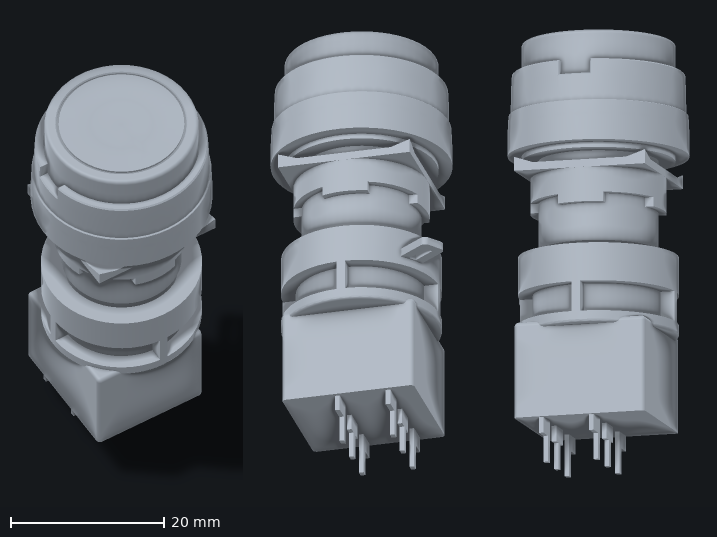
import cadquery as cq
import math

BLOCK_BOTTOM_Z = 5.55
COLLAR_BOTTOM_Z = 17.5
BLOCK_TOP_Z = 18.3
WINDOW_BOTTOM_Z = 19.0
WINDOW_TOP_Z = 23.0
SOCKET_FLOOR_Z = 26.95
COLLAR_TOP_Z = 28.1
NECK_TOP_Z = 28.5
BARREL_BOTTOM_Z = 28.9
TAB_BOTTOM_Z = 33.9
NUT_RING_BOTTOM_Z = 35.15
NUT_PLATE_BOTTOM_Z = 38.5
NUT_PLATE_TOP_Z = 39.5
NUT_CORNER_Z = 40.35
LIP_BOTTOM_Z = 40.85
SKIRT_BOTTOM_Z = 41.55
BEZEL_STEP_Z = 46.9
NOTCH_FLOOR_Z = 50.55
BEZEL_TOP_Z = 52.45
BUTTON_TOP_Z = 56.6

BARREL_RADIUS = 7.85
NECK_RADIUS = 7.4
LIP_RADIUS = 10.1
BUTTON_RADIUS = 10.1
BUTTON_EDGE = 0.5
SKIRT_BOTTOM_RADIUS = 11.9
SKIRT_TOP_RADIUS = 11.8
SKIRT_EDGE = 0.05
BEZEL_BOTTOM_RADIUS = 11.5
BEZEL_TOP_RADIUS = 11.3
BEZEL_BULGE = 0.05
BEZEL_EDGE = 0.15
BEZEL_BORE_RADIUS = 10.25
BUTTON_GAP_BOTTOM_Z = 49.8
NOTCH_WIDTH = 4.2
LENS_RADIUS = 8.2
LENS_GROOVE_RADIUS = 8.5
LENS_GROOVE_BEVEL = 0.15
LENS_GROOVE_DEPTH = 0.3
LENS_DISH_DEPTH = 0.3

NUT_SIZE = 17.85
NUT_FOLD_POSITION = 6.35
NUT_TAB_WIDTH = 6.1

COLLAR_RADIUS = 10.5
COLLAR_EDGE = 0.4
SOCKET_RADIUS = 7.8
COLLAR_CORE_RADIUS = 8.6
POST_WIDTH = 1.15
BLOCK_LENGTH = 17.85
BLOCK_WIDTH = 16.0
BLOCK_CENTRE_Y = -1.0
BLOCK_EDGE = 0.55
LEVER_ANGLE = 143.5
LEVER_BOTTOM_Z = 24.1
LEVER_THICKNESS = 1.1
LEVER_WIDTH = 3.5
LEVER_REACH = 15.4
LEVER_CORNER = 0.75
LEVER_SLOT_START = 10.75
LEVER_SLOT_END = 14.2
LEVER_SLOT_WIDTH = 1.0
PIN_ROWS_X = (-5.3, 1.5)
PIN_THICKNESS = 0.6
PIN_SHOULDER_Z = 3.45
PIN_SHOULDER_WIDTH = 3.0
PIN_TIP_WIDTH = 0.9
OUTER_PIN_EDGE = 7.45


def disc(radius, bottom, top):
    return cq.Workplane("XY").workplane(offset=bottom).circle(radius).extrude(top - bottom)


def tube(outer_radius, inner_radius, bottom, top):
    profile = cq.Workplane("XY").workplane(offset=bottom).circle(outer_radius).circle(inner_radius)
    return profile.extrude(top - bottom)


def block(x_size, y_size, bottom, top, centre=(0, 0)):
    outline = cq.Workplane("XY").workplane(offset=bottom).center(*centre).rect(x_size, y_size)
    return outline.extrude(top - bottom)


def revolved(*points):
    """Solid of revolution about Z from a closed outline of (radius, z) points."""
    return cq.Workplane("XZ").polyline(points).close().revolve(360, (0, 0), (0, 1))


def bulged(lower, upper):
    """Midpoint of a gently convex side running between two (radius, z) points."""
    return ((lower[0] + upper[0]) / 2 + BEZEL_BULGE, (lower[1] + upper[1]) / 2)


def make_bezel():
    skirt_low = (SKIRT_BOTTOM_RADIUS, SKIRT_BOTTOM_Z)
    skirt_high = (SKIRT_TOP_RADIUS, BEZEL_STEP_Z - SKIRT_EDGE)
    bezel_low = (BEZEL_BOTTOM_RADIUS, BEZEL_STEP_Z)
    bezel_high = (BEZEL_TOP_RADIUS, BEZEL_TOP_Z)
    bezel = (
        cq.Workplane("XZ")
        .moveTo(0, SKIRT_BOTTOM_Z)
        .lineTo(*skirt_low)
        .threePointArc(bulged(skirt_low, skirt_high), skirt_high)
        .lineTo(SKIRT_TOP_RADIUS - SKIRT_EDGE, BEZEL_STEP_Z)
        .lineTo(*bezel_low)
        .threePointArc(bulged(bezel_low, bezel_high), bezel_high)
        .lineTo(0, BEZEL_TOP_Z)
        .close()
        .revolve(360, (0, 0), (0, 1))
    )
    gap = tube(BEZEL_BORE_RADIUS, BUTTON_RADIUS, BUTTON_GAP_BOTTOM_Z, BEZEL_TOP_Z)
    notch = block(
        NOTCH_WIDTH, SKIRT_BOTTOM_RADIUS, NOTCH_FLOOR_Z, BEZEL_TOP_Z, (0, -SKIRT_BOTTOM_RADIUS / 2)
    )
    notch = notch.cut(disc(BUTTON_RADIUS, NOTCH_FLOOR_Z, BEZEL_TOP_Z))
    bezel = bezel.cut(gap).cut(notch)
    outer_edges = bezel.faces("%REVOLUTION").faces(">Z").edges()
    rim_edges = outer_edges.filter(lambda edge: edge.BoundingBox().zmin > NOTCH_FLOOR_Z - BEZEL_EDGE)
    return rim_edges.chamfer(BEZEL_EDGE)


def make_button():
    button = disc(BUTTON_RADIUS, BUTTON_GAP_BOTTOM_Z, BUTTON_TOP_Z).faces(">Z").edges().fillet(BUTTON_EDGE)
    groove_floor_z = BUTTON_TOP_Z - LENS_GROOVE_DEPTH
    groove = revolved(
        (LENS_RADIUS, BUTTON_TOP_Z),
        (LENS_RADIUS, groove_floor_z),
        (LENS_GROOVE_RADIUS, groove_floor_z),
        (LENS_GROOVE_RADIUS, BUTTON_TOP_Z - LENS_GROOVE_BEVEL),
        (LENS_GROOVE_RADIUS + LENS_GROOVE_BEVEL, BUTTON_TOP_Z),
    )
    dish_radius = (LENS_RADIUS ** 2 + LENS_DISH_DEPTH ** 2) / (2 * LENS_DISH_DEPTH)
    dish = (
        cq.Workplane("XY")
        .sphere(dish_radius)
        .translate((0, 0, BUTTON_TOP_Z - LENS_DISH_DEPTH + dish_radius))
    )
    return button.cut(groove).cut(dish)


def make_operator():
    barrel = revolved(
        (0, SOCKET_FLOOR_Z),
        (NECK_RADIUS, SOCKET_FLOOR_Z),
        (NECK_RADIUS, NECK_TOP_Z),
        (BARREL_RADIUS, BARREL_BOTTOM_Z),
        (BARREL_RADIUS, LIP_BOTTOM_Z),
        (0, LIP_BOTTOM_Z),
    )
    lip = disc(LIP_RADIUS, LIP_BOTTOM_Z, SKIRT_BOTTOM_Z)
    return make_bezel().union(make_button()).union(lip).union(barrel)


def make_nut_plate():
    """Square plate whose four corner triangles rise above straight fold lines."""
    plate = block(NUT_SIZE, NUT_SIZE, NUT_PLATE_BOTTOM_Z, NUT_CORNER_Z)
    fold_distance = (NUT_FOLD_POSITION + NUT_SIZE / 2) / math.sqrt(2)
    corner_distance = NUT_SIZE / math.sqrt(2)
    trough = (
        cq.Workplane("XZ")
        .moveTo(-fold_distance, NUT_PLATE_TOP_Z)
        .lineTo(fold_distance, NUT_PLATE_TOP_Z)
        .lineTo(corner_distance, NUT_CORNER_Z)
        .lineTo(-corner_distance, NUT_CORNER_Z)
        .close()
        .extrude(corner_distance, both=True)
    )
    clearance = trough.rotate((0, 0, 0), (0, 0, 1), 45).intersect(
        trough.rotate((0, 0, 0), (0, 0, 1), -45)
    )
    return plate.cut(clearance)


def make_lock_nut():
    ring_radius = NUT_SIZE / 2
    ring = disc(ring_radius, NUT_RING_BOTTOM_Z, NUT_PLATE_BOTTOM_Z)
    tab_cross = block(NUT_SIZE, NUT_TAB_WIDTH, TAB_BOTTOM_Z, NUT_RING_BOTTOM_Z).union(
        block(NUT_TAB_WIDTH, NUT_SIZE, TAB_BOTTOM_Z, NUT_RING_BOTTOM_Z)
    )
    tabs = disc(ring_radius, TAB_BOTTOM_Z, NUT_RING_BOTTOM_Z).intersect(tab_cross)
    bore = disc(BARREL_RADIUS, TAB_BOTTOM_Z, NUT_CORNER_Z)
    return make_nut_plate().union(ring).union(tabs).cut(bore)


def make_collar():
    """Round collar with four windows between posts, and a socket seating the barrel neck."""
    collar = disc(COLLAR_RADIUS, COLLAR_BOTTOM_Z, COLLAR_TOP_Z).faces("<Z").edges().fillet(COLLAR_EDGE)
    diameter = 2 * COLLAR_RADIUS
    windows = (
        tube(COLLAR_RADIUS, COLLAR_CORE_RADIUS, WINDOW_BOTTOM_Z, WINDOW_TOP_Z)
        .cut(block(diameter, POST_WIDTH, WINDOW_BOTTOM_Z, WINDOW_TOP_Z))
        .cut(block(POST_WIDTH, diameter, WINDOW_BOTTOM_Z, WINDOW_TOP_Z))
    )
    socket = disc(SOCKET_RADIUS, SOCKET_FLOOR_Z, COLLAR_TOP_Z)
    return collar.cut(windows).cut(socket)


def make_lever():
    lever_top = LEVER_BOTTOM_Z + LEVER_THICKNESS
    lever = block(LEVER_REACH, LEVER_WIDTH, LEVER_BOTTOM_Z, lever_top, (LEVER_REACH / 2, 0))
    lever = lever.edges("|Z and >X").fillet(LEVER_CORNER)
    slot_centre = (LEVER_SLOT_START + LEVER_SLOT_END) / 2
    slot_length = LEVER_SLOT_END - LEVER_SLOT_START
    slot = block(slot_length, LEVER_SLOT_WIDTH, LEVER_BOTTOM_Z, lever_top, (slot_centre, 0))
    return lever.cut(slot).rotate((0, 0, 0), (0, 0, 1), LEVER_ANGLE)


def make_housing():
    housing = block(BLOCK_LENGTH, BLOCK_WIDTH, BLOCK_BOTTOM_Z, BLOCK_TOP_Z, (0, BLOCK_CENTRE_Y))
    return housing.edges("|Z or >Z").fillet(BLOCK_EDGE)


def make_pin(x, shoulder_y, tip_y):
    shoulder = block(PIN_THICKNESS, PIN_SHOULDER_WIDTH, PIN_SHOULDER_Z, BLOCK_BOTTOM_Z, (x, shoulder_y))
    tip = block(PIN_THICKNESS, PIN_TIP_WIDTH, 0, PIN_SHOULDER_Z, (x, tip_y))
    return shoulder.union(tip)


def make_contact_block():
    contact_block = make_collar().union(make_lever()).union(make_housing())
    shoulder_offset = OUTER_PIN_EDGE - PIN_SHOULDER_WIDTH / 2
    tip_offset = OUTER_PIN_EDGE - PIN_SHOULDER_WIDTH + PIN_TIP_WIDTH / 2
    for x in PIN_ROWS_X:
        for side in (-1, 0, 1):
            shoulder_y = BLOCK_CENTRE_Y + side * shoulder_offset
            tip_y = BLOCK_CENTRE_Y + side * tip_offset
            contact_block = contact_block.union(make_pin(x, shoulder_y, tip_y))
    return contact_block


operator = make_operator()
lock_nut = make_lock_nut()
contact_block = make_contact_block()

result = cq.Compound.makeCompound([operator.val(), lock_nut.val(), contact_block.val()])